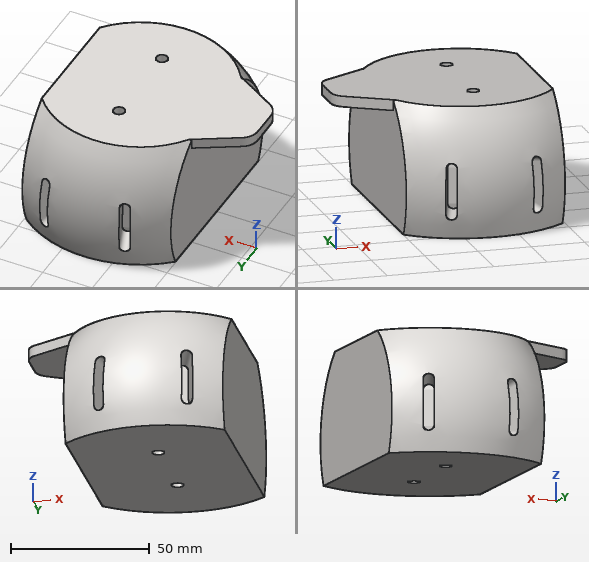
import cadquery as cq
import math

BALL_RADIUS = 47.8
TOP_Z = 31.1
BODY_HEIGHT = 47.0
BOTTOM_Z = TOP_Z - BODY_HEIGHT
LEFT_X = -30.8
RIGHT_X = 28.1

TAB_TIP_X = -49.9
TAB_THICKNESS = 4.0
TAB_TIP_HALF_WIDTH = 9.0
TAB_SIDE_ANGLE = 30.0
TAB_CORNER_RADIUS = 6.6
TAB_ROOT_X = -23.9

HOLE_DIAMETER = 4.4
HOLE_OFFSET_Y = 17.0

SLOT_WIDTH = 4.0
SLOT_DEPTH = 10.0
SLOT_TOP_ELEVATION = 12.8
SLOT_BOTTOM_ELEVATION = -7.6
SLOT_TURN = 20.0
SLOT_OVERRUN = 4.8


def make_body():
    """Ball trimmed flat at the top, bottom and both X sides."""
    block = cq.Workplane("XY").box(
        RIGHT_X - LEFT_X, 2 * BALL_RADIUS, BODY_HEIGHT, centered=False
    ).translate((LEFT_X, -BALL_RADIUS, BOTTOM_Z))
    return cq.Workplane("XY").sphere(BALL_RADIUS).intersect(block)


def make_tab():
    """Plate that narrows toward a flat tip with rounded corners."""
    widening = (TAB_ROOT_X - TAB_TIP_X) * math.tan(math.radians(TAB_SIDE_ANGLE))
    root_half_width = TAB_TIP_HALF_WIDTH + widening
    return (
        cq.Workplane("XY", origin=(0, 0, TOP_Z - TAB_THICKNESS))
        .polyline([
            (TAB_TIP_X, -TAB_TIP_HALF_WIDTH),
            (TAB_ROOT_X, -root_half_width),
            (TAB_ROOT_X, root_half_width),
            (TAB_TIP_X, TAB_TIP_HALF_WIDTH),
        ])
        .close()
        .extrude(TAB_THICKNESS)
        .edges("|Z and <X")
        .fillet(TAB_CORNER_RADIUS)
    )


def make_holes():
    return (
        cq.Workplane("XY", origin=(0, 0, BOTTOM_Z))
        .pushPoints([(0, -HOLE_OFFSET_Y), (0, HOLE_OFFSET_Y)])
        .circle(HOLE_DIAMETER / 2)
        .extrude(BODY_HEIGHT)
    )


def make_slot_cutter():
    """Fan-shaped slot along +X: a flat wedge between two radial round ends."""
    inner_radius = BALL_RADIUS - SLOT_DEPTH
    outer_radius = BALL_RADIUS + SLOT_OVERRUN

    def fan_point(radius, elevation):
        angle = math.radians(elevation)
        return (radius * math.cos(angle), radius * math.sin(angle))

    cutter = (
        cq.Workplane("XZ")
        .polyline([
            fan_point(inner_radius, SLOT_BOTTOM_ELEVATION),
            fan_point(outer_radius, SLOT_BOTTOM_ELEVATION),
            fan_point(outer_radius, SLOT_TOP_ELEVATION),
            fan_point(inner_radius, SLOT_TOP_ELEVATION),
        ])
        .close()
        .extrude(SLOT_WIDTH / 2, both=True)
    )
    for elevation in (SLOT_BOTTOM_ELEVATION, SLOT_TOP_ELEVATION):
        round_end = (
            cq.Workplane("YZ", origin=(inner_radius, 0, 0))
            .circle(SLOT_WIDTH / 2)
            .extrude(outer_radius - inner_radius)
            .rotate((0, 0, 0), (0, 1, 0), -elevation)
        )
        cutter = cutter.union(round_end)
    return cutter


result = make_body().union(make_tab()).cut(make_holes())

slot_cutter = make_slot_cutter()
for side in (-90, 90):
    for turn in (-SLOT_TURN, SLOT_TURN):
        result = result.cut(slot_cutter.rotate((0, 0, 0), (0, 0, 1), side + turn))